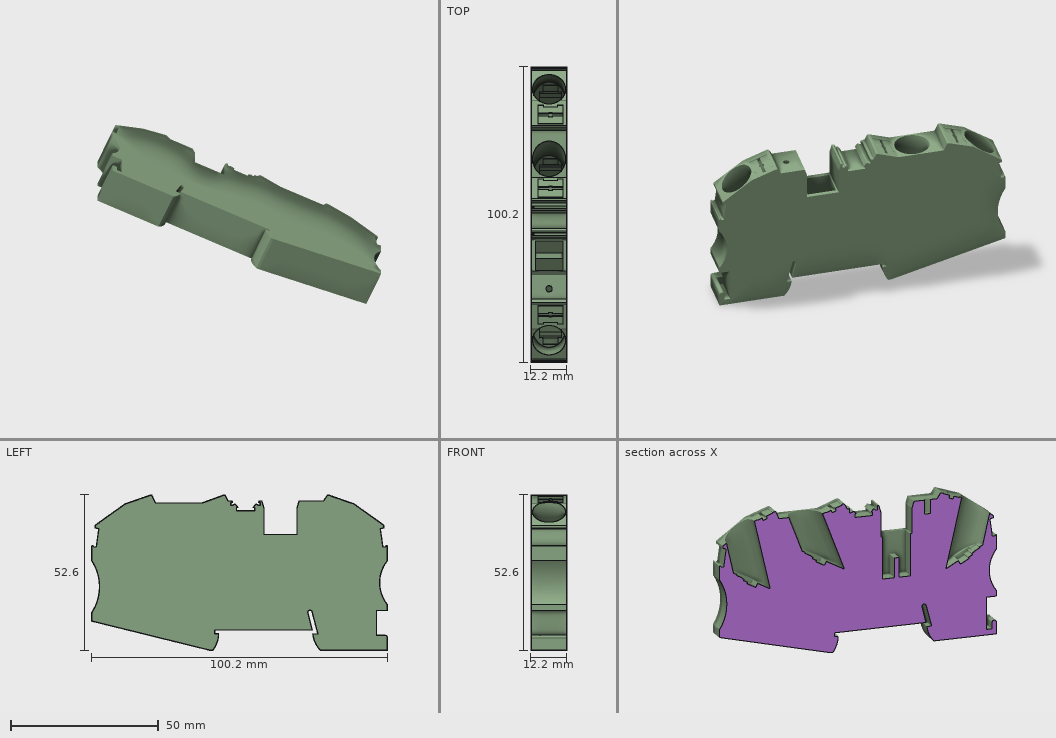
import cadquery as cq
import math

WIDTH = 12.15
LENGTH = 100.24
HEIGHT = 52.63
HALF_WIDTH = WIDTH / 2
HALF_LENGTH = LENGTH / 2

ROOF_FLAT_Z = 50.7
MIDDLE_FLAT_Z = 50.0
PEAK_Y = 30.3
PEAK_FLAT = 0.55
PEAK_STEP_Y = 28.5
BEND_Y = 38.7
BEND_Z = 49.7
EAVE_Y = 48.95
EAVE_TOP_Z = 42.4
EAVE_BOTTOM_Z = 41.5
MIDDLE_FACET_START_Y = 12.7
MIDDLE_PEAK_Y = 5.45
MIDDLE_STEP_Y = 3.9

NECK_TOP_Y = 47.75
NECK_TOP_Z = 41.2
NECK_BOTTOM_Y = 48.6
NECK_BOTTOM_Z = 35.1
RIM_NOTCH_Y = 49.4
RIM_CREST_Y = 49.8
RIM_CREST_Z = 35.6
RIM_EDGE_Z = 35.3
HOLLOW_TOP_Z = 30.4
HOLLOW_DEEPEST_Y = 47.5
BACK_HOLLOW_BOTTOM_Z = 12.8
FRONT_HOLLOW_BOTTOM_Z = 15.5
BACK_CORNER_Z = 9.9

MARKER_Y = -2.03
MARKER_FLOOR_Z = 47.35
MARKER_GROOVE_WALL = 4.95
MARKER_GROOVE_INNER = 4.15
MARKER_GROOVE_Z = 49.2
MARKER_LIP_SHOULDER = 4.05
MARKER_LIP_SHOULDER_Z = 49.5
MARKER_LIP_CREST = 3.5
MARKER_LIP_CREST_Z = 49.6
MARKER_LIP_TIP = 2.57
MARKER_LIP_TIP_Z = 48.5
MARKER_LIP_UNDERSIDE_Z = 48.4
MARKER_WALL = 3.05
MARKER_HOOK_TIP = 4.35
MARKER_HOOK_TIP_Z = 50.1
MARKER_HOOK_TOP = 4.6
MARKER_HOOK_BASE_Z = 49.95
MARKER_HOOK_ROOT = 0.2
MARKER_HOOK_INSET = 0.3
MARKER_HOOK_THICKNESS = 0.65

BRIDGE_BACK_Y = -8.3
BRIDGE_FRONT_Y = -19.4
BRIDGE_FLOOR_Z = 39.3
BRIDGE_TAPER_Z = 48.2
BRIDGE_TAPER = 0.75

RAIL_Z = 6.9
FIXED_CLAW_Z = 5.7
FIXED_CLAW_INNER_Y = 8.4
FIXED_CLAW_TIP_Y = 7.1
FIXED_CLAW_ROUND_Z = 4.8
FIXED_CLAW_BULGE = (7.75, 2.3)
FIXED_CLAW_HEEL_Y = 9.05
FOOT_EDGE_Y = 10.0
SPRING_CLAW_TIP_Y = -24.8
SPRING_CLAW_Z = 5.6
SPRING_CLAW_HEEL_Y = -27.35
SPRING_CLAW_INNER_Y = -26.5
SPRING_CLAW_BULGE = (-25.7, 2.4)
SPRING_SLOT_MOUTH_Y = -24.65
SPRING_SLOT_BACK = (-23.2, 12.7)
SPRING_SLOT_TOP = (-23.7, 13.55)
SPRING_SLOT_FRONT = (-24.5, 13.2)

FOOT_NOTCH_Y = -46.45
FOOT_NOTCH_TOP_Z = 13.45
FOOT_NOTCH_BOTTOM_Z = 5.15
FOOT_ROUND = 0.9
FOOT_POCKET_WALL_X = 3.0
FOOT_POCKET_FRONT_Y = -HALF_LENGTH + 2 * FOOT_ROUND
FOOT_POCKET_DEPTH = 3.0

BRIDGE_POCKET_WIDTH = 9.3
BRIDGE_POCKET_BACK_Y = -8.85
BRIDGE_POCKET_FRONT_Y = -18.85
BRIDGE_POCKET_DEPTH = 15.0
BRIDGE_RIB_BACK_Y = -13.0
BRIDGE_RIB_FRONT_Y = -14.8
BRIDGE_RIB_DROP = 8.0

PROBE_Y = -25.1
PROBE_DIAMETER = 2.1
PROBE_DEPTH = 5.0

CLAMP_X = 0.48

ENTRY_RADIUS = 5.6
ENTRY_RISE = 12.0
ENTRY_REACH = 30.0
END_ENTRY_Y = 42.6
END_ENTRY_Z = 47.1
END_ENTRY_TILT = 13.0
END_ENTRY_WALL = 13.8
MIDDLE_ENTRY_Y = 18.95
MIDDLE_ENTRY_TILT = 21.0
MIDDLE_ENTRY_WALL = 11.3
CLAMP_FLOOR_SLOPE = 28.0
THROAT_START = 1.35
THROAT_WIDTH = 5.2
THROAT_DEPTH = 0.3
CAGE_STARTS = (3.8, 4.7, 6.4)
CAGE_STEP = 0.5
CAGE_END = 9.8
CAGE_WIDTH = 7.4

BUTTON_LENGTH = 6.6
BUTTON_WIDTH = 8.5
BUTTON_DEPTH = 0.2
BUTTON_TAB_LENGTH = 0.6
BUTTON_TAB_WIDTH = 4.8
BUTTON_GROOVE_LENGTH = 1.05
BUTTON_GROOVE_DEPTH = 1.2
BUTTON_DIMPLE_DIAMETER = 1.7
END_BUTTON_Y = 34.0
MIDDLE_BUTTON_Y = 9.07


def end_outline(side):
    """Points from the flat inside the peak down to the top of the finger hollow."""
    points = [
        (PEAK_Y - PEAK_FLAT, HEIGHT),
        (PEAK_Y, HEIGHT),
        (BEND_Y, BEND_Z),
        (EAVE_Y, EAVE_TOP_Z),
        (EAVE_Y, EAVE_BOTTOM_Z),
        (NECK_TOP_Y, NECK_TOP_Z),
        (NECK_BOTTOM_Y, NECK_BOTTOM_Z),
        (RIM_NOTCH_Y, NECK_BOTTOM_Z),
        (RIM_CREST_Y, RIM_CREST_Z),
        (HALF_LENGTH, RIM_EDGE_Z),
        (HALF_LENGTH, HOLLOW_TOP_Z),
    ]
    return [(side * y, z) for y, z in points]


def marker_lip(side):
    """Points of one undercut lip from its crest down to the marker channel floor."""
    points = [
        (MARKER_GROOVE_WALL, ROOF_FLAT_Z),
        (MARKER_GROOVE_WALL, MARKER_GROOVE_Z),
        (MARKER_GROOVE_INNER, MARKER_GROOVE_Z),
        (MARKER_LIP_SHOULDER, MARKER_LIP_SHOULDER_Z),
        (MARKER_LIP_CREST, MARKER_LIP_CREST_Z),
        (MARKER_LIP_TIP, MARKER_LIP_TIP_Z),
        (MARKER_WALL, MARKER_LIP_UNDERSIDE_Z),
        (MARKER_WALL, MARKER_FLOOR_Z),
    ]
    return [(MARKER_Y + side * offset, z) for offset, z in points]


def housing():
    back_hollow_mid_z = (HOLLOW_TOP_Z + BACK_HOLLOW_BOTTOM_Z) / 2
    front_hollow_mid_z = (HOLLOW_TOP_Z + FRONT_HOLLOW_BOTTOM_Z) / 2
    outline = (
        cq.Workplane("YZ")
        .moveTo(-HALF_LENGTH, FRONT_HOLLOW_BOTTOM_Z)
        .threePointArc((-HOLLOW_DEEPEST_Y, front_hollow_mid_z), (-HALF_LENGTH, HOLLOW_TOP_Z))
    )
    roof = end_outline(-1)[-2::-1]
    roof += [
        (-PEAK_STEP_Y, ROOF_FLAT_Z),
        (BRIDGE_FRONT_Y - BRIDGE_TAPER, ROOF_FLAT_Z),
        (BRIDGE_FRONT_Y, BRIDGE_TAPER_Z),
        (BRIDGE_FRONT_Y, BRIDGE_FLOOR_Z),
        (BRIDGE_BACK_Y, BRIDGE_FLOOR_Z),
        (BRIDGE_BACK_Y, BRIDGE_TAPER_Z),
        (BRIDGE_BACK_Y + BRIDGE_TAPER, ROOF_FLAT_Z),
    ]
    roof += marker_lip(-1)
    roof += marker_lip(1)[::-1]
    roof += [
        (MIDDLE_STEP_Y, ROOF_FLAT_Z),
        (MIDDLE_PEAK_Y - PEAK_FLAT, HEIGHT),
        (MIDDLE_PEAK_Y, HEIGHT),
        (MIDDLE_FACET_START_Y, MIDDLE_FLAT_Z),
        (PEAK_STEP_Y, MIDDLE_FLAT_Z),
    ]
    roof += end_outline(1)
    for point in roof:
        outline = outline.lineTo(*point)
    outline = (
        outline.threePointArc((HOLLOW_DEEPEST_Y, back_hollow_mid_z), (HALF_LENGTH, BACK_HOLLOW_BOTTOM_Z))
        .lineTo(HALF_LENGTH, BACK_CORNER_Z)
        .lineTo(FOOT_EDGE_Y, 0)
        .lineTo(FIXED_CLAW_HEEL_Y, 0)
        .threePointArc(FIXED_CLAW_BULGE, (FIXED_CLAW_TIP_Y, FIXED_CLAW_ROUND_Z))
        .lineTo(FIXED_CLAW_TIP_Y, FIXED_CLAW_Z)
        .lineTo(FIXED_CLAW_INNER_Y, FIXED_CLAW_Z)
        .lineTo(FIXED_CLAW_INNER_Y, RAIL_Z)
        .lineTo(SPRING_SLOT_MOUTH_Y, RAIL_Z)
        .lineTo(*SPRING_SLOT_BACK)
        .threePointArc(SPRING_SLOT_TOP, SPRING_SLOT_FRONT)
        .lineTo(SPRING_CLAW_INNER_Y, SPRING_CLAW_Z)
        .lineTo(SPRING_CLAW_TIP_Y, SPRING_CLAW_Z)
        .threePointArc(SPRING_CLAW_BULGE, (SPRING_CLAW_HEEL_Y, 0))
        .lineTo(-HALF_LENGTH, 0)
        .lineTo(-HALF_LENGTH, FOOT_NOTCH_BOTTOM_Z - FOOT_ROUND)
        .radiusArc((-HALF_LENGTH + FOOT_ROUND, FOOT_NOTCH_BOTTOM_Z), FOOT_ROUND)
        .lineTo(FOOT_NOTCH_Y, FOOT_NOTCH_BOTTOM_Z)
        .lineTo(FOOT_NOTCH_Y, FOOT_NOTCH_TOP_Z)
        .lineTo(-HALF_LENGTH, FOOT_NOTCH_TOP_Z)
        .close()
    )
    return outline.extrude(HALF_WIDTH, both=True)


def marker_hook(side):
    """Small catch reaching over the lip groove near the -X face."""
    points = [
        (MARKER_GROOVE_WALL + MARKER_HOOK_ROOT, ROOF_FLAT_Z),
        (MARKER_HOOK_TOP, ROOF_FLAT_Z),
        (MARKER_HOOK_TIP, MARKER_HOOK_TIP_Z),
        (MARKER_GROOVE_WALL, MARKER_HOOK_BASE_Z),
        (MARKER_GROOVE_WALL + MARKER_HOOK_ROOT, MARKER_HOOK_BASE_Z),
    ]
    outline = [(MARKER_Y + side * offset, z) for offset, z in points]
    plane = cq.Workplane("YZ", origin=(-HALF_WIDTH + MARKER_HOOK_INSET, 0, 0))
    return plane.polyline(outline).close().extrude(MARKER_HOOK_THICKNESS)


def block(x_range, y_range, z_range):
    size = [high - low for low, high in (x_range, y_range, z_range)]
    return cq.Workplane("XY").box(*size, centered=False).translate((x_range[0], y_range[0], z_range[0]))


def foot_pocket():
    """Pocket behind the foot edge, open towards +X; it rounds the inner side of the edge."""
    bottom = FOOT_NOTCH_BOTTOM_Z - FOOT_POCKET_DEPTH
    plane = cq.Workplane("YZ", origin=(-HALF_WIDTH + FOOT_POCKET_WALL_X, 0, 0))
    outline = (
        plane.moveTo(FOOT_NOTCH_Y, bottom)
        .lineTo(FOOT_NOTCH_Y, FOOT_NOTCH_BOTTOM_Z)
        .lineTo(FOOT_POCKET_FRONT_Y - FOOT_ROUND, FOOT_NOTCH_BOTTOM_Z)
        .radiusArc((FOOT_POCKET_FRONT_Y, FOOT_NOTCH_BOTTOM_Z - FOOT_ROUND), FOOT_ROUND)
        .lineTo(FOOT_POCKET_FRONT_Y, bottom)
        .close()
    )
    return outline.extrude(WIDTH - FOOT_POCKET_WALL_X)


def bridge_pocket():
    x_range = (-BRIDGE_POCKET_WIDTH / 2, BRIDGE_POCKET_WIDTH / 2)
    bottom = BRIDGE_FLOOR_Z - BRIDGE_POCKET_DEPTH
    pocket = block(x_range, (BRIDGE_POCKET_FRONT_Y, BRIDGE_POCKET_BACK_Y), (bottom, BRIDGE_FLOOR_Z))
    rib_top = BRIDGE_FLOOR_Z - BRIDGE_RIB_DROP
    rib = block(x_range, (BRIDGE_RIB_FRONT_Y, BRIDGE_RIB_BACK_Y), (bottom, rib_top))
    return pocket.cut(rib)


def probe_hole():
    plane = cq.Workplane("XY", origin=(0, PROBE_Y, ROOF_FLAT_Z))
    return plane.circle(PROBE_DIAMETER / 2).extrude(-PROBE_DEPTH)


def floor_recess(plane, start, length, width, depth):
    """Box sunk into a sloping clamp floor, from `start` on in the downhill direction."""
    top = cq.Workplane(plane).center(start + length / 2, 0)
    return top.rect(length, width).extrude(-depth)


def wire_entry(side, y, z, tilt, wall):
    """Bore leaning outwards by `tilt`; `wall` is the drop of its outer wall to the clamp floor."""
    lean = math.radians(tilt)
    slope = math.radians(CLAMP_FLOOR_SLOPE)
    axis = (0, side * math.sin(lean), math.cos(lean))
    outward = (0, side * math.cos(lean), -math.sin(lean))
    bore_plane = cq.Plane((0, y, z), outward, axis)
    bore = cq.Workplane(bore_plane).workplane(offset=-ENTRY_REACH)
    bore = bore.circle(ENTRY_RADIUS).extrude(ENTRY_REACH + ENTRY_RISE)

    foot_y = y + side * (ENTRY_RADIUS * math.cos(lean) - wall * math.sin(lean))
    foot_z = z - ENTRY_RADIUS * math.sin(lean) - wall * math.cos(lean)
    downhill = (0, -side * math.cos(slope), -math.sin(slope))
    floor_normal = (0, -side * math.sin(slope), math.cos(slope))
    floor = cq.Plane((CLAMP_X, foot_y, foot_z), downhill, floor_normal)
    span = 2 * ENTRY_REACH
    bore = bore.intersect(cq.Workplane(floor).rect(2 * span, 2 * span).extrude(span))

    throat_length = CAGE_STARTS[0] - THROAT_START
    bore = bore.union(floor_recess(floor, THROAT_START, throat_length, THROAT_WIDTH, THROAT_DEPTH))
    for number, start in enumerate(CAGE_STARTS, 1):
        bore = bore.union(floor_recess(floor, start, CAGE_END - start, CAGE_WIDTH, number * CAGE_STEP))
    return bore


def button_recess(side, y, peak_y, low_y, low_z):
    """Shallow recess on a roof facet that falls from `peak_y` to (low_y, low_z)."""
    fall = (HEIGHT - low_z) / abs(low_y - peak_y)
    slope = math.atan(fall)
    z = HEIGHT - fall * abs(y - peak_y)
    downhill = (0, side * math.cos(slope), -math.sin(slope))
    normal = (0, side * math.sin(slope), math.cos(slope))
    facet = cq.Workplane(cq.Plane((CLAMP_X, y, z), downhill, normal))
    recess = facet.rect(BUTTON_LENGTH, BUTTON_WIDTH).extrude(-BUTTON_DEPTH)
    tab = facet.center((BUTTON_LENGTH - BUTTON_TAB_LENGTH) / 2, 0)
    tab = tab.rect(BUTTON_TAB_LENGTH, BUTTON_TAB_WIDTH).extrude(-BUTTON_DEPTH)
    groove = facet.rect(BUTTON_GROOVE_LENGTH, BUTTON_WIDTH).extrude(-BUTTON_GROOVE_DEPTH)
    dimple = facet.circle(BUTTON_DIMPLE_DIAMETER / 2).extrude(-BUTTON_GROOVE_DEPTH)
    return recess.cut(tab).union(groove).union(dimple)


result = housing()
for side in (-1, 1):
    result = result.union(marker_hook(side))
result = result.cut(foot_pocket())
result = result.cut(bridge_pocket())
result = result.cut(probe_hole())
for side in (-1, 1):
    result = result.cut(wire_entry(side, side * END_ENTRY_Y, END_ENTRY_Z, END_ENTRY_TILT, END_ENTRY_WALL))
    result = result.cut(button_recess(side, side * END_BUTTON_Y, side * PEAK_Y, side * BEND_Y, BEND_Z))
result = result.cut(wire_entry(1, MIDDLE_ENTRY_Y, MIDDLE_FLAT_Z, MIDDLE_ENTRY_TILT, MIDDLE_ENTRY_WALL))
result = result.cut(
    button_recess(1, MIDDLE_BUTTON_Y, MIDDLE_PEAK_Y, MIDDLE_FACET_START_Y, MIDDLE_FLAT_Z)
)